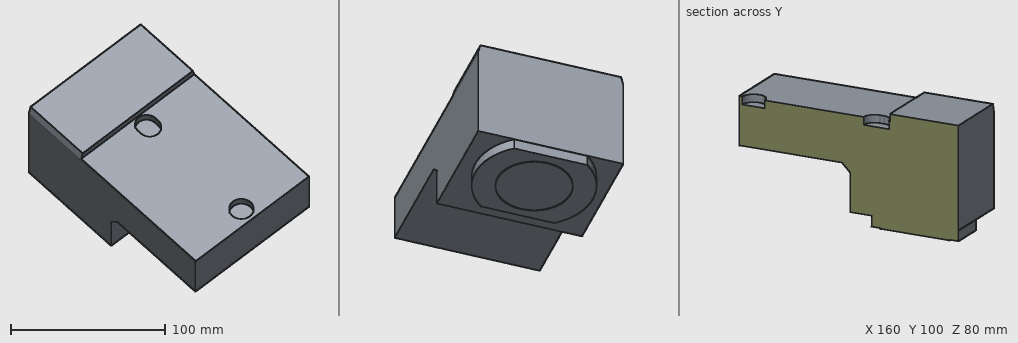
import cadquery as cq

length = 160.0
width = 100.0
total_height = 80.0

body_height = 72.0
body_length = 79.2
arm_underside_depth = 39.0
corner_leg = 6.0
pad_length = 50.0
pad_height = 5.0

bevel_height = 6.0
bevel_inset = 1.6

foot_diameter = 81.0
foot_across_flats = 63.4
foot_center_x = 32.0
boss_diameter = 50.0
boss_height = 0.5

hole_diameter = 16.0
hole_center_x = 149.5
slot_length = 18.0
slot_width = 15.0
slot_center_x = 60.0
hole_depth = 5.5


def make_body():
    """L-shaped side profile extruded across the full width."""
    return (
        cq.Workplane("XZ")
        .moveTo(0, 0)
        .lineTo(pad_length, 0)
        .lineTo(pad_length, -pad_height)
        .lineTo(length, -pad_height)
        .lineTo(length, -arm_underside_depth)
        .lineTo(body_length + corner_leg, -arm_underside_depth)
        .lineTo(body_length, -arm_underside_depth - corner_leg)
        .lineTo(body_length, -body_height)
        .lineTo(0, -body_height)
        .close()
        .extrude(width / 2, both=True)
    )


def make_bevel_envelope():
    """Cross-section with sloped upper sides, used to trim the body."""
    half_width = width / 2
    top_half_width = half_width - bevel_inset
    return (
        cq.Workplane("YZ")
        .polyline([
            (-half_width, -body_height),
            (half_width, -body_height),
            (half_width, -bevel_height),
            (top_half_width, 0),
            (-top_half_width, 0),
            (-half_width, -bevel_height),
        ])
        .close()
        .extrude(length)
    )


def make_foot():
    """Disc with two flats facing along X, carrying a thin round boss."""
    foot_height = total_height - body_height - boss_height
    bottom = cq.Workplane("XY", origin=(foot_center_x, 0, -body_height))
    disc = bottom.circle(foot_diameter / 2).extrude(-foot_height)
    flats = bottom.rect(foot_across_flats, foot_diameter).extrude(-foot_height)
    boss = bottom.circle(boss_diameter / 2).extrude(-foot_height - boss_height)
    return disc.intersect(flats).union(boss)


def make_holes():
    """Blind round hole near the arm end and blind slot next to the pad."""
    arm_top = cq.Workplane("XY", origin=(0, 0, -pad_height))
    round_hole = arm_top.center(hole_center_x, 0).circle(hole_diameter / 2).extrude(-hole_depth)
    slot = arm_top.center(slot_center_x, 0).slot2D(slot_length, slot_width).extrude(-hole_depth)
    return round_hole.union(slot)


result = make_body().intersect(make_bevel_envelope()).union(make_foot()).cut(make_holes())